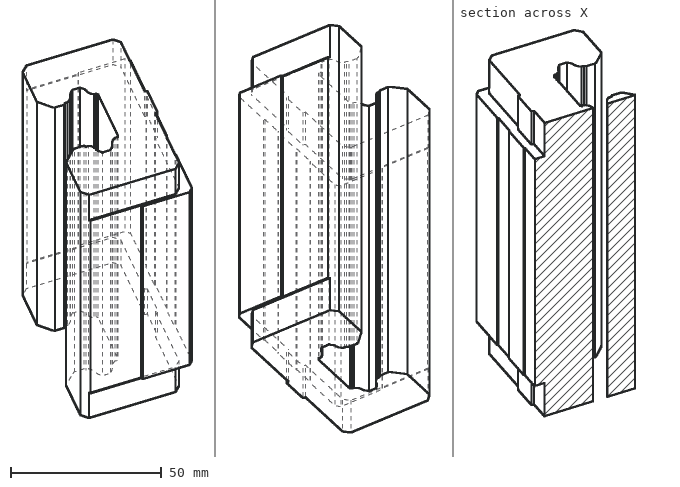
import cadquery as cq


block_width = 60.0
block_height = 39.0
total_length = 120.7
block_length = 93.4
cap_length = (total_length - block_length) / 2

foot_half_width = 26.9

block_top_chamfer = 1.4
side_relief = 0.5
side_relief_height = 20.6

top_groove_inner = 5.3
top_groove_outer = 13.8
top_groove_depth = 0.3

cap_half_width = 29.1
cap_height = 35.0
cap_top_chamfer = 2.0
pad_half_width = 4.8
pad_height = 0.9
pad_slope = 0.3

slot_top = 20.1
slot_roof_chamfer = 0.5
neck_half_width = 9.8

groove_center = 14.15
groove_half_width = 14.05
groove_floor_offset = 1.4
groove_edge_half_width = 12.9
groove_edge_offset = 2.5
shoulder_end_half_width = 12.3
shoulder_end_offset = 2.8
shoulder_mid_half_width = 10.8
shoulder_mid_offset = 3.42
neck_offset = 4.7

lip_half_width = 9.2
lip_top = 8.0
lip_bottom = 4.7
lip_edge_width = 0.4
lip_edge_height = 0.7


def mirrored_prism(half_outline, z_start, length):
    """Extrude the section whose +X half is given, from bottom to top, mirrored about X = 0."""
    other_half = [(-x, y) for x, y in reversed(half_outline)]
    section = cq.Workplane("XY", origin=(0, 0, z_start)).polyline(half_outline + other_half)
    return section.close().extrude(length)


def make_block():
    half_width = block_width / 2
    flank_half_width = half_width - side_relief
    groove_y = block_height - top_groove_depth
    outline = [
        (foot_half_width, 0),
        (flank_half_width, flank_half_width - foot_half_width),
        (flank_half_width, side_relief_height),
        (half_width, side_relief_height + side_relief),
        (half_width, block_height - block_top_chamfer),
        (half_width - block_top_chamfer, block_height),
        (top_groove_outer, block_height),
        (top_groove_outer - top_groove_depth, groove_y),
        (top_groove_inner + top_groove_depth, groove_y),
        (top_groove_inner, block_height),
    ]
    return mirrored_prism(outline, -block_length / 2, block_length)


def make_cap(z_start):
    outline = [
        (foot_half_width, 0),
        (cap_half_width, cap_half_width - foot_half_width),
        (cap_half_width, cap_height - cap_top_chamfer),
        (cap_half_width - cap_top_chamfer, cap_height),
        (pad_half_width + pad_slope, cap_height),
        (pad_half_width, cap_height + pad_height),
    ]
    return mirrored_prism(outline, z_start, cap_length)


def shoulder_points(side):
    """Shoulder arc start, middle and end, then the groove edge and floor corner.

    The side is +1 above the groove center and -1 below it.
    """
    profile = [
        (neck_half_width, neck_offset),
        (shoulder_mid_half_width, shoulder_mid_offset),
        (shoulder_end_half_width, shoulder_end_offset),
        (groove_edge_half_width, groove_edge_offset),
        (groove_half_width, groove_floor_offset),
    ]
    return [(x, groove_center + side * offset) for x, offset in profile]


def make_half_slot():
    """The +X half of the rail slot, running the full length of the part."""
    mouth_top = lip_bottom - lip_edge_height
    mouth_top_half_width = lip_half_width + lip_edge_width
    lower_start, lower_mid, lower_end, lower_edge, lower_floor = shoulder_points(-1)
    upper_start, upper_mid, upper_end, upper_edge, upper_floor = shoulder_points(1)
    return (
        cq.Workplane("XY", origin=(0, 0, -total_length / 2))
        .lineTo(mouth_top_half_width + mouth_top, 0)
        .lineTo(mouth_top_half_width, mouth_top)
        .lineTo(lip_half_width, lip_bottom)
        .lineTo(lip_half_width, lip_top)
        .lineTo(neck_half_width, lip_top + neck_half_width - lip_half_width)
        .lineTo(*lower_start)
        .threePointArc(lower_mid, lower_end)
        .lineTo(*lower_edge)
        .lineTo(*lower_floor)
        .lineTo(*upper_floor)
        .lineTo(*upper_edge)
        .lineTo(*upper_end)
        .threePointArc(upper_mid, upper_start)
        .lineTo(neck_half_width, slot_top - slot_roof_chamfer)
        .lineTo(neck_half_width - slot_roof_chamfer, slot_top)
        .lineTo(0, slot_top)
        .close()
        .extrude(total_length)
    )


body = make_block()
for cap_start in (-total_length / 2, block_length / 2):
    body = body.union(make_cap(cap_start))

half_slot = make_half_slot()
rail_slot = half_slot.union(half_slot.mirror("YZ"))

result = body.cut(rail_slot).clean()